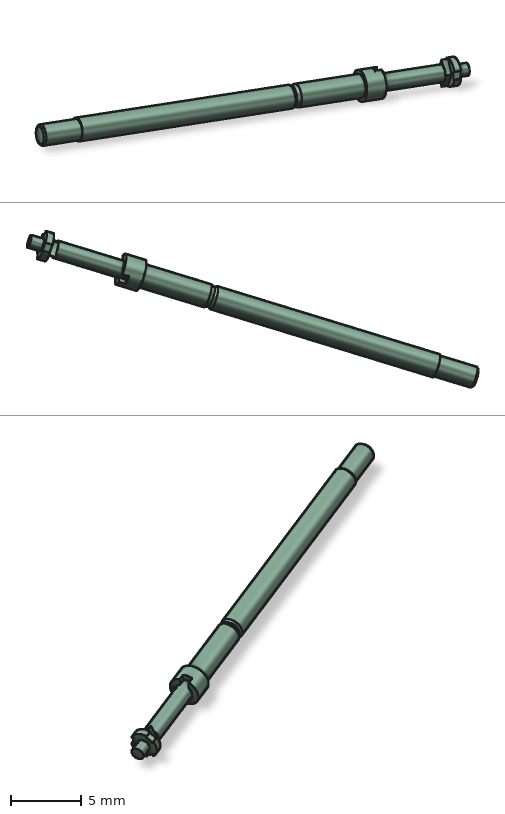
import cadquery as cq
import math

length = 34.0

barrel_start = 3.0
groove_start = 19.92
groove_bottom = 20.13
groove_end = 20.45
collar_start = 25.5
collar_end = 27.03
key_start = 32.0
flange_start = 32.5
flange_end = 33.05

tail_radius = 1.55 / 2
barrel_radius = 1.75 / 2
groove_radius = 1.5 / 2
collar_radius = 2.3 / 2
plunger_radius = 1.3 / 2
flange_radius = 2.1 / 2
tip_radius = 0.95 / 2

tail_chamfer = 0.15

collar_slot_width = 0.7
collar_slot_length = 0.5

key_half_height = 1.02
key_side_lean = 30
key_half_width = key_half_height * math.tan(math.radians(key_side_lean))

flange_slot_count = 3
flange_slot_width = 0.6
flange_slot_floor = 0.9


def along_y(start):
    """Workplane across the axis at y = start, facing the tip (local x = -X, local y = Z)."""
    return cq.Workplane("XZ", origin=(0, start, 0)).transformed(rotate=(0, 180, 0))


def rod(radius, start, end):
    return along_y(start).circle(radius).extrude(end - start)


def make_barrel():
    """Tail, barrel with its V groove, and the plain collar blank, as one turned body."""
    profile = [
        (0, 0),
        (tail_radius - tail_chamfer, 0),
        (tail_radius, tail_chamfer),
        (tail_radius, barrel_start),
        (barrel_radius, barrel_start),
        (barrel_radius, groove_start),
        (groove_radius, groove_bottom),
        (barrel_radius, groove_end),
        (barrel_radius, collar_start),
        (collar_radius, collar_start),
        (collar_radius, collar_end),
        (0, collar_end),
    ]
    return cq.Workplane("XY").polyline(profile).close().revolve(360, (0, 0, 0), (0, 1, 0))


def make_collar_slots():
    """Bar through the collar from top to bottom, which leaves two opposite slots."""
    return along_y(collar_end - collar_slot_length).rect(
        collar_slot_width, 2 * collar_radius
    ).extrude(collar_slot_length)


def make_key():
    corners = [
        (key_half_width, 0),
        (0, key_half_height),
        (-key_half_width, 0),
        (0, -key_half_height),
    ]
    return along_y(key_start).polyline(corners).close().extrude(flange_start - key_start)


def make_flange():
    """Flat disc with evenly spaced slots in its rim, the first one at +X."""
    flange = rod(flange_radius, flange_start, flange_end)
    slot_depth = flange_radius - flange_slot_floor
    slot = along_y(flange_start).center(-flange_slot_floor - slot_depth / 2, 0).rect(
        slot_depth, flange_slot_width
    ).extrude(flange_end - flange_start)
    for index in range(flange_slot_count):
        angle = index * 360 / flange_slot_count
        flange = flange.cut(slot.rotate((0, 0, 0), (0, 1, 0), angle))
    return flange


plunger = rod(plunger_radius, collar_start, key_start)
tip = rod(tip_radius, flange_end, length)

result = (
    make_barrel()
    .cut(make_collar_slots())
    .union(plunger)
    .union(make_key())
    .union(make_flange())
    .union(tip)
)